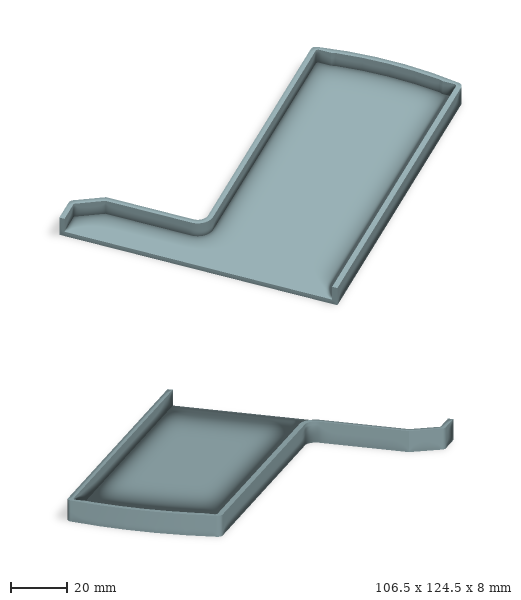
import cadquery as cq
import math

width = 106.5
length = 124.5
height = 8.0
wall = 2.0
floor = 2.0

column_left = 48.8
foot_top = 16.7
chamfer_length = 11.3
chamfer_angle = 30.0
crown_radius = 143.2

outer_corner_radius = 2.0
inner_corner_radius = 1.0
inner_foot_radius = 0.6
step_foot_radius = 0.6
step_crown_radius = 2.0
elbow_radius = 4.0

land_y = 120.7
land_half_gap = 21.3
crown_half_width = 20.0

column_center = (column_left + width) / 2


def crown_y(apex, radius, offset):
    """Height of a bowed end at a distance from the column centre."""
    return apex - radius + math.sqrt(radius**2 - offset**2)


def foot_and_column_side(inset):
    """Points of the left side, from the open end up to the elbow, inset from the outside."""
    slope = math.radians(chamfer_angle)
    corner_shift = inset * math.tan(slope / 2)
    foot_y = foot_top - inset
    slope_top_x = chamfer_length + corner_shift
    slope_bottom_y = foot_y - (slope_top_x - inset) * math.tan(slope)
    return [
        (inset, 0),
        (inset, slope_bottom_y),
        (slope_top_x, foot_y),
        (column_left + inset, foot_y),
    ]


def round_corner(body, point, radius):
    """Round the upright edge that passes through a plan point."""
    reach = 0.01
    x, y = point
    box = cq.selectors.BoxSelector(
        (x - reach, y - reach, -height), (x + reach, y + reach, 2 * height)
    )
    return body.edges("|Z").edges(box).fillet(radius)


def outer_body():
    side = foot_and_column_side(0)
    shoulder_y = crown_y(length, crown_radius, width - column_center)
    left_corner = (column_left, shoulder_y)
    right_corner = (width, shoulder_y)
    body = (
        cq.Workplane("XY")
        .polyline(side + [left_corner])
        .threePointArc((column_center, length), right_corner)
        .lineTo(width, 0)
        .close()
        .extrude(height)
    )
    for corner in (side[1], left_corner, right_corner):
        body = round_corner(body, corner, outer_corner_radius)
    return round_corner(body, side[3], elbow_radius)


def cavity():
    """Space above the floor, open at the top and at the Y = 0 end."""
    side = foot_and_column_side(wall)
    apex = length - wall
    crown_end_y = crown_y(apex, crown_radius - wall, crown_half_width)
    left_corner = (column_left + wall, land_y)
    right_corner = (width - wall, land_y)
    body = (
        cq.Workplane("XY", origin=(0, 0, floor))
        .polyline(side + [
            left_corner,
            (column_center - land_half_gap, land_y),
            (column_center - crown_half_width, crown_end_y),
        ])
        .threePointArc((column_center, apex), (column_center + crown_half_width, crown_end_y))
        .lineTo(column_center + land_half_gap, land_y)
        .lineTo(*right_corner)
        .lineTo(width - wall, 0)
        .close()
        .extrude(height - floor)
    )
    for corner in (left_corner, right_corner):
        body = round_corner(body, corner, inner_corner_radius)
    for corner in side[1:3]:
        body = round_corner(body, corner, inner_foot_radius)
    for direction in (-1, 1):
        step_foot = (column_center + direction * land_half_gap, land_y)
        step_top = (column_center + direction * crown_half_width, crown_end_y)
        body = round_corner(body, step_foot, step_foot_radius)
        body = round_corner(body, step_top, step_crown_radius)
    return round_corner(body, side[3], elbow_radius + wall)


result = outer_body().cut(cavity())